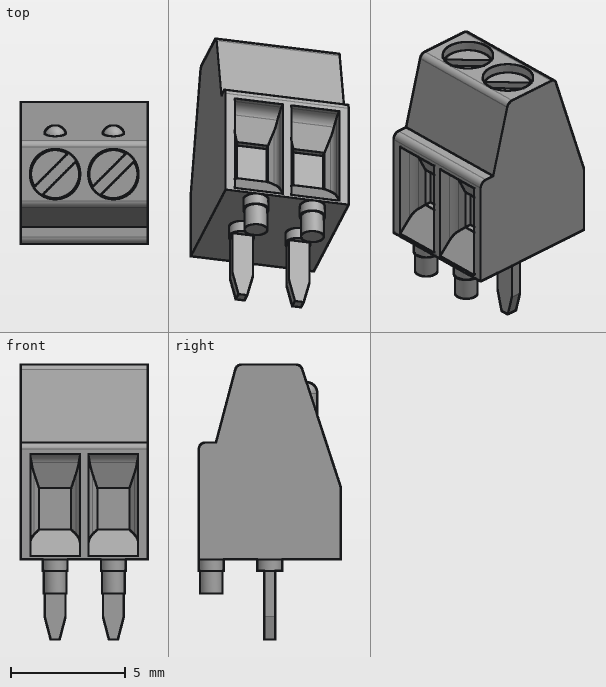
import cadquery as cq


POLE_PITCH = 2.54
POLE_COUNT = 2
END_MARGIN = 1.5
WIDTH = POLE_PITCH * (POLE_COUNT - 1) + 2 * END_MARGIN
DEPTH = 6.2
FRONT_Y = -DEPTH / 2
BACK_Y = DEPTH / 2
HEIGHT = 8.5
LEDGE_HEIGHT = 5.1
LEDGE_DEPTH = 0.75
FRONT_SLOPE_RUN = 0.9
BACK_WALL_HEIGHT = 3.15
BACK_SLOPE_RUN = 1.75
EDGE_RADIUS = 0.3

HOLE_DIAMETER = 2.2
HOLE_Y = -0.05
HEAD_DIAMETER = 2.1
HEAD_RECESS = 0.4
DRIVER_SLOT_WIDTH = 0.5
DRIVER_SLOT_DEPTH = 0.6
DRIVER_SLOT_ANGLE = 45
HOLE_DEPTH = HEAD_RECESS + DRIVER_SLOT_DEPTH

ENTRY_WIDTH = 2.16
ENTRY_BOTTOM = 0.14
ENTRY_TOP = 4.6
THROAT_WIDTH = 1.4
THROAT_BOTTOM = 1.3
THROAT_TOP = 3.1
FUNNEL_DEPTH = THROAT_BOTTOM - ENTRY_BOTTOM
THROAT_LENGTH = 0.3
ENTRY_DEPTH = FUNNEL_DEPTH + THROAT_LENGTH
ROOF_SLOPE = 3.0
FUNNEL_RADIUS = 0.55

COLLAR_DIAMETER = 1.1
COLLAR_LENGTH = 0.5
PEG_DIAMETER = 1.0
PEG_LENGTH = 1.5
PEG_Y = FRONT_Y + COLLAR_DIAMETER / 2
PIN_WIDTH = 0.92
PIN_THICKNESS = 0.5
PIN_LENGTH = 3.5
PIN_TIP_WIDTH = 0.4
PIN_TIP_LENGTH = 1.0

STUD_DIAMETER = 1.0
STUD_REACH = 5.18
STUD_Y = FRONT_Y + STUD_REACH - STUD_DIAMETER / 2
STUD_BASE = BACK_WALL_HEIGHT
STUD_SHOULDER = 7.24
DOME_RADIUS = STUD_DIAMETER / 2


def cylinder(diameter, bottom, top, x=0.0, y=0.0):
    return cq.Workplane("XY", origin=(x, y, bottom)).circle(diameter / 2).extrude(top - bottom)


def housing():
    ledge_y = FRONT_Y + LEDGE_DEPTH
    outline = [
        (FRONT_Y, 0),
        (FRONT_Y, LEDGE_HEIGHT),
        (ledge_y, LEDGE_HEIGHT),
        (ledge_y + FRONT_SLOPE_RUN, HEIGHT),
        (BACK_Y - BACK_SLOPE_RUN, HEIGHT),
        (BACK_Y, BACK_WALL_HEIGHT),
        (BACK_Y, 0),
    ]
    block = cq.Workplane("YZ", origin=(-WIDTH / 2, 0, 0)).polyline(outline).close().extrude(WIDTH)
    block = block.faces(">Z").edges("|X").fillet(EDGE_RADIUS)
    ledge_edge = cq.selectors.NearestToPointSelector((0, FRONT_Y, LEDGE_HEIGHT))
    return block.edges(ledge_edge).fillet(EDGE_RADIUS)


def stud(x):
    post = cylinder(STUD_DIAMETER, STUD_BASE, STUD_SHOULDER, x, STUD_Y)
    dome = cq.Workplane("XY", origin=(x, STUD_Y, STUD_SHOULDER)).sphere(DOME_RADIUS)
    return post.union(dome)


def screw_recess(x):
    """Access hole down to the bottom of the driver slot, less the slotted screw head."""
    hole_bottom = HEIGHT - HOLE_DEPTH
    hole = cylinder(HOLE_DIAMETER, hole_bottom, HEIGHT, x, HOLE_Y)
    head = cylinder(HEAD_DIAMETER, hole_bottom, HEIGHT - HEAD_RECESS, x, HOLE_Y)
    slot = (
        cq.Workplane("XY", origin=(x, HOLE_Y, hole_bottom))
        .transformed(rotate=(0, 0, DRIVER_SLOT_ANGLE))
        .rect(HOLE_DIAMETER, DRIVER_SLOT_WIDTH)
        .extrude(DRIVER_SLOT_DEPTH)
    )
    return hole.cut(head.cut(slot))


def wire_entry(x):
    """Overlap of a prism with the plan shape and a prism with the side shape."""
    half_entry = ENTRY_WIDTH / 2
    half_throat = THROAT_WIDTH / 2
    funnel_y = FRONT_Y + FUNNEL_DEPTH
    end_y = FRONT_Y + ENTRY_DEPTH
    side_bend_y = funnel_y - (half_entry - half_throat)
    roof_bend_y = funnel_y - (ENTRY_TOP - THROAT_TOP) / ROOF_SLOPE

    plan_outline = [
        (-half_entry, FRONT_Y),
        (half_entry, FRONT_Y),
        (half_entry, side_bend_y),
        (half_throat, funnel_y),
        (half_throat, end_y),
        (-half_throat, end_y),
        (-half_throat, funnel_y),
        (-half_entry, side_bend_y),
    ]
    plan = cq.Workplane("XY").polyline(plan_outline).close().extrude(HEIGHT)
    for side in (-1, 1):
        bend = cq.selectors.NearestToPointSelector((side * half_entry, side_bend_y, HEIGHT / 2))
        plan = plan.edges(bend).fillet(FUNNEL_RADIUS)

    side_outline = [
        (FRONT_Y, ENTRY_BOTTOM),
        (funnel_y, THROAT_BOTTOM),
        (end_y, THROAT_BOTTOM),
        (end_y, THROAT_TOP),
        (funnel_y, THROAT_TOP),
        (roof_bend_y, ENTRY_TOP),
        (FRONT_Y, ENTRY_TOP),
    ]
    profile = cq.Workplane("YZ").polyline(side_outline).close().extrude(half_entry, both=True)
    roof_bend = cq.selectors.NearestToPointSelector((0, roof_bend_y, ENTRY_TOP))
    profile = profile.edges(roof_bend).fillet(FUNNEL_RADIUS)
    return plan.intersect(profile).translate((x, 0, 0))


def locating_peg(x):
    collar = cylinder(COLLAR_DIAMETER, -COLLAR_LENGTH, 0, x, PEG_Y)
    return collar.union(cylinder(PEG_DIAMETER, -PEG_LENGTH, 0, x, PEG_Y))


def solder_pin(x):
    taper_z = PIN_TIP_LENGTH - PIN_LENGTH
    outline = [
        (-PIN_WIDTH / 2, 0),
        (PIN_WIDTH / 2, 0),
        (PIN_WIDTH / 2, taper_z),
        (PIN_TIP_WIDTH / 2, -PIN_LENGTH),
        (-PIN_TIP_WIDTH / 2, -PIN_LENGTH),
        (-PIN_WIDTH / 2, taper_z),
    ]
    blade = (
        cq.Workplane("XZ", origin=(x, 0, 0))
        .polyline(outline)
        .close()
        .extrude(PIN_THICKNESS / 2, both=True)
    )
    return blade.union(cylinder(COLLAR_DIAMETER, -COLLAR_LENGTH, 0, x))


result = housing()
for pole in range(POLE_COUNT):
    pole_x = (pole - (POLE_COUNT - 1) / 2) * POLE_PITCH
    result = result.union(stud(pole_x))
    result = result.cut(screw_recess(pole_x))
    result = result.cut(wire_entry(pole_x))
    result = result.union(locating_peg(pole_x))
    result = result.union(solder_pin(pole_x))